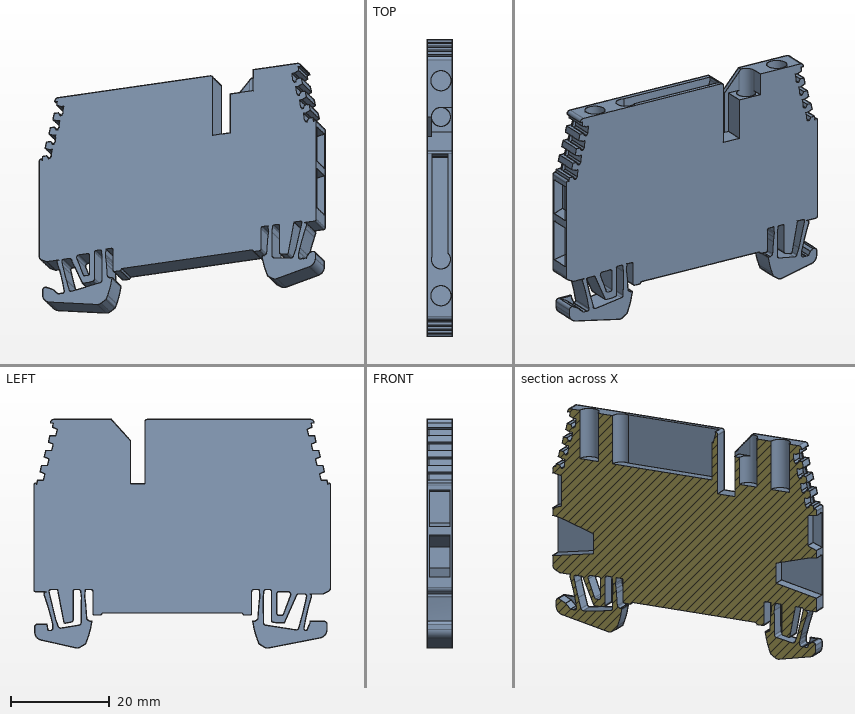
import cadquery as cq
import math

LENGTH = 60.0
THICKNESS = 5.1
TOP_Z = 46.25
SHOULDER_Z = 33.4
SHOULDER_LENGTH = 0.55
SHOULDER_RADIUS = 0.5
SHOULDER_DIP = 0.3
SHOULDER_DIP_RUN = 0.05
FRONT_END, REAR_END = -1, 1

FRONT_BOTTOM_Z = 10.9
FRONT_SLOPE_LENGTH = 1.6
FRONT_SLOPE_Z = 11.7
FRONT_SLOPE_RADIUS = 0.9
REAR_BOTTOM_Z = 11.4
RAIL_Z = 7.1
PAD_Z = 6.65
PAD_LENGTH = 1.6
PAD_CHAMFER = 0.3
SLOT_TOP_Z = 11.8
REAR_WALL = 11.95
FRONT_WALL = 15.95
CORNER = 0.35

GROOVES = 4
GROOVE_PITCH = 3.0
GROOVE_STEP = 0.85
GROOVE_Z = 33.95
GROOVE_TIP = 0.7
GROOVE_DEPTH = 1.2
GROOVE_LEAN = 0.3
GROOVE_WALL = 1.25
TOOTH_RISE = 0.4
TOOTH_INSET = 1.25
GROOVE_HOLLOW = [(0.9, 0), (1.25, -0.65), (1.55, -0.65), (1.85, -0.2), (2.05, 1.25), (1.5, 1.25), (1.2, 0)]
LIP_INSET = 3.35
LIP_OVERHANG = 0.55
LIP_Z = 45.5
LIP_RADIUS = 0.7

SKIN = 0.4

NOTCH_SLOPE_START = 15.65
NOTCH_START = 19.55
NOTCH_END = 22.45
NOTCH_SLOPE_Z = 41.95
NOTCH_FLOOR_Z = 33.25
NOTCH_FILLET = 0.55

HOLE_X = 0.25
OUTER_HOLE_Y = 21.7
OUTER_HOLE_RADIUS = 2.05
INNER_HOLE_Y = 14.4
INNER_HOLE_RADIUS = 1.9
HOLE_FLOOR_Z = 36.0
RECESS_Z = 41.7
RECESS_WALL_X = -1.6
RECESS_END = 18.65
SLOT_X = 0.09
SLOT_WIDTH = 3.25
SLOT_START = 23.1
SLOT_STRAIGHT = 0.6
SLOT_SLOPE_DEPTH = 2.4
SLOT_SLOPE_RUN = 0.5
SLOT_LEDGE = 0.25

ENTRY_WIDTH = 4.15
UPPER_ENTRY = [(0, 24.55), (0, 32.0), (2.0, 31.6), (2.0, 25.25)]
LOWER_ENTRY = [(0, 14.4), (0, 22.9), (2.0, 22.55), (9.2, 20.4), (9.2, 16.2)]

REAR_LEG = [
    (1.85, REAR_BOTTOM_Z, 0.5),
    (3.0, 8.05, 54),
    (3.85, 4.75, 3),
    (3.8, 3.6, 0.35),
    (2.9, 3.6, 0.3),
    (2.7, 4.85),
    (0.2, 4.85, 0.55),
    (0.2, 1.9, 1.7),
]
FRONT_LEG = [
    (3.7, FRONT_BOTTOM_Z, 0.35),
    (4.85, 7.3, 43.2),
    (5.45, 3.6, 0.35),
    (4.85, 3.6, 0.25),
    (4.2, 5.1),
    (4.2, 5.45),
    (0.7, 5.45, 0.65),
    (0.7, 2.35, 1.8),
]
TOE_CORNER = (0.2, 5.45)
TOE = [(2.95, -0.05, 1.15), (1.45, 0.9, 0.3), (0.5, 3.4, 16.8), TOE_CORNER]
INNER_SLOT = [
    (0, SLOT_TOP_Z, CORNER),
    (1.5, SLOT_TOP_Z),
    (1.6, 10.45, 1.8),
    (1.45, 9.05, 18),
    (1.2, 5.8, 0.25),
    (0.6, 5.45),
    (0, 5.45),
]
TONGUE_WALL = 3.95
LEG_INNER_FACE = [
    (2.4, 4.75, 0.5),
    (2.35, 10.3),
    (2.5, SLOT_TOP_Z, 0.3),
    (TONGUE_WALL, SLOT_TOP_Z, 0.3),
]
REAR_TONGUE = [(TONGUE_WALL, 5.35, 0.5), (5.8, 5.0, 0.3)]
FRONT_TONGUE = [(TONGUE_WALL, 5.3, 0.5), (5.15, 5.1), (6.6, 5.1)]
REAR_WINDOW = [(4.8, SLOT_TOP_Z), (3.0, SLOT_TOP_Z, 0.35), (4.45, 5.8), (5.1, 4.0, 0.5)]
FRONT_WINDOW = [
    (6.8, FRONT_BOTTOM_Z, 0.3),
    (4.8, FRONT_BOTTOM_Z, 0.35),
    (5.45, 7.85, 60),
    (6.6, 3.65, 0.5),
]
TONGUE_HOLE = [(10.85, 11.4, 0.35), (7.85, 11.4, 0.55), (9.65, 6.65, 0.35), (10.85, 6.65, 0.35)]
REAR_RELIEF = [(1.1, 4.85), (1.75, 4.45), (2.15, 3.6), (2.9, 3.6), (2.9, 4.85)]
FRONT_RELIEF = [(1.4, 5.45), (3.0, 4.7), (4.1, 3.6), (4.85, 3.6), (4.85, 5.45)]


def at_end(end, points):
    """Turn (distance from the end, z, radius) into (y, z, radius)."""
    return [(end * (LENGTH / 2 - p[0]), *p[1:]) for p in points]


def from_wall(wall, points):
    """Turn distances outward from a rail wall into distances from the end."""
    return [(wall - p[0], *p[1:]) for p in points]


def rounded_prism(points, width=THICKNESS, center_x=0.0):
    """Extrude a closed (y, z[, corner radius]) outline along X."""
    path = []
    for i, corner in enumerate(points):
        y, z = corner[:2]
        radius = corner[2] if len(corner) > 2 else 0
        if radius == 0:
            path.append([(y, z)])
            continue
        before = points[i - 1]
        after = points[(i + 1) % len(points)]
        angle_in = math.atan2(before[1] - z, before[0] - y)
        angle_out = math.atan2(after[1] - z, after[0] - y)
        half = abs(math.remainder(angle_out - angle_in, 2 * math.pi)) / 2
        tangent = radius / math.tan(half)
        bisector = angle_in + math.remainder(angle_out - angle_in, 2 * math.pi) / 2
        sagitta = radius / math.sin(half) - radius
        path.append([
            (y + tangent * math.cos(angle_in), z + tangent * math.sin(angle_in)),
            (y + sagitta * math.cos(bisector), z + sagitta * math.sin(bisector)),
            (y + tangent * math.cos(angle_out), z + tangent * math.sin(angle_out)),
        ])
    wire = cq.Workplane("YZ", origin=(center_x - width / 2, 0, 0)).moveTo(*path[0][-1])
    for stretch in path[1:] + path[:1]:
        wire = wire.lineTo(*stretch[0])
        if len(stretch) == 3:
            wire = wire.threePointArc(*stretch[1:])
    return wire.close().extrude(width)


def toothed_end():
    """Upper end outline from the shoulder up to the top lip."""
    points = [
        (0, SHOULDER_Z, SHOULDER_RADIUS),
        (SHOULDER_LENGTH, SHOULDER_Z),
        (SHOULDER_LENGTH + SHOULDER_DIP_RUN, SHOULDER_Z - SHOULDER_DIP),
    ]
    for n in range(GROOVES):
        inset = n * GROOVE_STEP
        z = GROOVE_Z + n * GROOVE_PITCH
        root = GROOVE_TIP + GROOVE_DEPTH + inset
        points += [
            (GROOVE_TIP + inset, z),
            (root, z),
            (root + GROOVE_LEAN, z + GROOVE_WALL),
            (TOOTH_INSET + inset, z + GROOVE_WALL + TOOTH_RISE),
        ]
    points += [
        (LIP_INSET + LIP_OVERHANG, LIP_Z),
        (LIP_INSET, LIP_Z),
        (LIP_INSET, TOP_Z, LIP_RADIUS),
    ]
    return points


def rail_underside(wall):
    """Rail wall and pad, from the wall inward."""
    return [
        (wall, PAD_Z, CORNER),
        (wall + PAD_LENGTH, PAD_Z),
        (wall + PAD_LENGTH + PAD_CHAMFER, RAIL_Z),
    ]


def body():
    """Plate with toothed ends, marker notch and rail underside."""
    front = [
        (FRONT_WALL, FRONT_BOTTOM_Z),
        (FRONT_SLOPE_LENGTH, FRONT_BOTTOM_Z),
        (0, FRONT_SLOPE_Z, FRONT_SLOPE_RADIUS),
    ]
    rear = [(0, REAR_BOTTOM_Z, CORNER), (REAR_WALL, REAR_BOTTOM_Z)]
    notch = [
        (NOTCH_END, TOP_Z, NOTCH_FILLET),
        (NOTCH_END, NOTCH_FLOOR_Z),
        (NOTCH_START, NOTCH_FLOOR_Z),
        (NOTCH_START, NOTCH_SLOPE_Z),
        (NOTCH_SLOPE_START, TOP_Z),
    ]
    outline = at_end(FRONT_END, front + toothed_end())
    outline += at_end(REAR_END, notch + toothed_end()[::-1] + rear)
    outline += at_end(REAR_END, rail_underside(REAR_WALL))
    outline += at_end(FRONT_END, rail_underside(FRONT_WALL)[::-1])
    return rounded_prism(outline)


def foot(end, wall, leg, bottom_z, tongue, window):
    """Snap-on foot with its leg window, and the slot beside the rail wall."""
    outline = leg + from_wall(wall, TOE + [(TOE_CORNER[0], bottom_z)])
    hollow = from_wall(wall, LEG_INNER_FACE + tongue) + window
    slot = from_wall(wall, INNER_SLOT)
    solid = rounded_prism(at_end(end, outline))
    openings = rounded_prism(at_end(end, hollow)).union(rounded_prism(at_end(end, slot)))
    return solid, openings


def skin_side_prism(end, points):
    """Prism through the whole thickness except the skin at -X."""
    return rounded_prism(at_end(end, points), THICKNESS - SKIN, SKIN / 2)


def groove_relief(end, number):
    """Hollow that deepens a grip groove and leaves the skin at -X."""
    tip = GROOVE_TIP + number * GROOVE_STEP
    floor = GROOVE_Z + number * GROOVE_PITCH
    outline = [(tip + inward, floor + up) for inward, up in GROOVE_HOLLOW]
    return skin_side_prism(end, outline)


def hole(y, radius):
    """Blind screw hole from the top."""
    circle = cq.Workplane("XY", origin=(HOLE_X, y, HOLE_FLOOR_Z)).circle(radius)
    return circle.extrude(TOP_Z - HOLE_FLOOR_Z)


def recess():
    """Lowered floor beside the notch, open at +X, behind a thin wall at -X."""
    end_y = LENGTH / 2 - RECESS_END
    side_x = THICKNESS / 2
    back_y = INNER_HOLE_Y + INNER_HOLE_RADIUS
    notch_y = LENGTH / 2 - NOTCH_START
    height = TOP_Z - RECESS_Z
    behind = cq.Workplane("XY", origin=(0, 0, RECESS_Z)).moveTo(HOLE_X, back_y)
    behind = behind.lineTo(side_x, back_y).lineTo(side_x, notch_y).lineTo(RECESS_WALL_X, notch_y)
    behind = behind.lineTo(RECESS_WALL_X, INNER_HOLE_Y).lineTo(HOLE_X, INNER_HOLE_Y).close().extrude(height)
    lower = cq.Workplane("XY", origin=(0, 0, NOTCH_FLOOR_Z)).moveTo(RECESS_WALL_X, notch_y)
    lower = lower.lineTo(side_x, notch_y).lineTo(side_x, end_y).lineTo(RECESS_WALL_X, end_y)
    return behind.union(lower.close().extrude(TOP_Z - NOTCH_FLOOR_Z))


def long_slot():
    """Slot in the top running from the notch into the front inner hole."""
    slope_end = SLOT_START + SLOT_SLOPE_RUN
    ledge_z = TOP_Z - SLOT_SLOPE_DEPTH
    hole_from_rear = LENGTH / 2 + INNER_HOLE_Y
    outline = [
        (SLOT_START, TOP_Z),
        (SLOT_START, TOP_Z - SLOT_STRAIGHT),
        (slope_end, ledge_z),
        (slope_end + SLOT_LEDGE, ledge_z),
        (slope_end + SLOT_LEDGE, HOLE_FLOOR_Z),
        (hole_from_rear, HOLE_FLOOR_Z),
        (hole_from_rear, TOP_Z),
    ]
    return rounded_prism(at_end(REAR_END, outline), SLOT_WIDTH, SLOT_X)


rear_foot, rear_openings = foot(
    REAR_END, REAR_WALL, REAR_LEG, REAR_BOTTOM_Z, REAR_TONGUE, REAR_WINDOW)
front_foot, front_openings = foot(
    FRONT_END, FRONT_WALL, FRONT_LEG, FRONT_BOTTOM_Z, FRONT_TONGUE, FRONT_WINDOW)

result = body().union(rear_foot).union(front_foot)
result = result.cut(rear_openings).cut(front_openings)
result = result.cut(rounded_prism(at_end(FRONT_END, TONGUE_HOLE)))
result = result.cut(skin_side_prism(FRONT_END, FRONT_RELIEF))
result = result.cut(skin_side_prism(REAR_END, REAR_RELIEF))
for end in (FRONT_END, REAR_END):
    result = result.cut(hole(end * OUTER_HOLE_Y, OUTER_HOLE_RADIUS))
    result = result.cut(hole(end * INNER_HOLE_Y, INNER_HOLE_RADIUS))
    for number in range(GROOVES):
        result = result.cut(groove_relief(end, number))
    for entry in (UPPER_ENTRY, LOWER_ENTRY):
        result = result.cut(rounded_prism(at_end(end, entry), ENTRY_WIDTH))
result = result.cut(recess()).cut(long_slot())